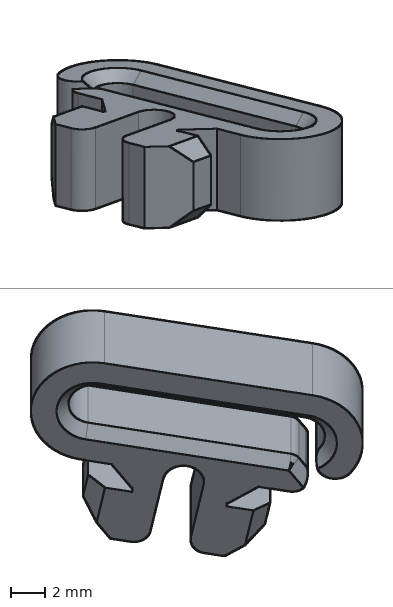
import cadquery as cq
import math

length = 19.6
thickness = 5.0
outer_radius = 3.6
slot_radius = 1.4
edge_chamfer = 0.7
half_straight = length / 2 - outer_radius
wall = outer_radius - slot_radius

hook_angle = math.radians(26)
lip_corner_x = -6.17
lip_fillet = 0.9

clip_bottom = -9.0
foot_half_width = 5.4
foot_top = -5.37
foot_slope = 2.02
foot_chamfer = 1.0
neck_half_width = 2.8
neck_height = 0.2
relief_half_width = 1.2
relief_top = -2.9
relief_fillet = 1.0


def polar(radius, angle):
    """Point around the centre of the loop's left end."""
    return (-half_straight + radius * math.cos(angle), radius * math.sin(angle))


def hook_and_ring():
    """Top bar, right bend and left hook as one C-shaped outline."""
    mid_radius = (outer_radius + slot_radius) / 2
    tip_angle = math.pi + hook_angle
    bend_middle = (math.pi / 2 + tip_angle) / 2
    tip_center = polar(mid_radius, tip_angle)
    tip_end = (
        tip_center[0] + wall / 2 * math.sin(hook_angle),
        tip_center[1] - wall / 2 * math.cos(hook_angle),
    )
    return (
        cq.Workplane("XY")
        .moveTo(half_straight, -outer_radius)
        .threePointArc((half_straight + outer_radius, 0), (half_straight, outer_radius))
        .lineTo(-half_straight, outer_radius)
        .threePointArc(polar(outer_radius, bend_middle), polar(outer_radius, tip_angle))
        .threePointArc(tip_end, polar(slot_radius, tip_angle))
        .threePointArc(polar(slot_radius, bend_middle), (-half_straight, slot_radius))
        .lineTo(half_straight, slot_radius)
        .threePointArc((half_straight + slot_radius, 0), (half_straight, -slot_radius))
        .lineTo(half_straight, -outer_radius)
        .close()
        .extrude(thickness)
    )


def lower_bar():
    """Bottom bar ending in the sloped lip, with both lip corners rounded."""
    bar = (
        cq.Workplane("XY")
        .polyline([
            (half_straight, -slot_radius),
            (lip_corner_x, -slot_radius),
            (lip_corner_x - wall, -outer_radius),
            (half_straight, -outer_radius),
        ])
        .close()
        .extrude(thickness)
    )
    bar = bar.edges("|Z and <X").fillet(lip_fillet)
    upper_corner = cq.selectors.NearestToPointSelector((lip_corner_x, -slot_radius, thickness / 2))
    return bar.edges("|Z").edges(upper_corner).fillet(edge_chamfer)


def clip_leg():
    """Right leg of the clip, with its barbed foot."""
    neck_bottom = foot_top + neck_height
    notch_rise = -outer_radius - neck_bottom
    shoulder_half_width = neck_half_width + notch_rise
    leg = (
        cq.Workplane("XY")
        .polyline([
            (0, -slot_radius - edge_chamfer),
            (shoulder_half_width, -slot_radius - edge_chamfer),
            (shoulder_half_width, -outer_radius),
            (neck_half_width, neck_bottom),
            (neck_half_width, foot_top),
            (foot_half_width, foot_top),
            (foot_half_width, clip_bottom + foot_slope),
            (foot_half_width - foot_slope, clip_bottom),
            (0, clip_bottom),
        ])
        .close()
        .extrude(thickness)
    )
    outer_corner = (
        cq.Workplane("XZ", origin=(0, foot_top, 0))
        .polyline([
            (foot_half_width - foot_chamfer, 0),
            (foot_half_width, 0),
            (foot_half_width, foot_chamfer),
        ])
        .close()
        .extrude(foot_top - clip_bottom)
    )
    return leg.cut(outer_corner).cut(flipped(outer_corner))


def relief_slot():
    """Round-ended slot between the legs, flared by the rounded leg ends."""
    arc_y = relief_top - relief_half_width
    mouth = relief_half_width + relief_fillet
    bulge = relief_fillet * (1 - math.sqrt(0.5))
    fillet_y = clip_bottom + relief_fillet
    return (
        cq.Workplane("XY")
        .moveTo(-relief_half_width, arc_y)
        .threePointArc((0, relief_top), (relief_half_width, arc_y))
        .lineTo(relief_half_width, fillet_y)
        .threePointArc((relief_half_width + bulge, clip_bottom + bulge), (mouth, clip_bottom))
        .lineTo(-mouth, clip_bottom)
        .threePointArc((-relief_half_width - bulge, clip_bottom + bulge), (-relief_half_width, fillet_y))
        .close()
        .extrude(thickness)
    )


def flipped(body):
    """Mirror a body about the part's mid-thickness plane."""
    return body.mirror("XY", (0, 0, thickness / 2))


def slot_chamfer():
    """Tapered stadium that bevels the slot's upper rim."""
    rim_radius = slot_radius + edge_chamfer
    return (
        cq.Workplane("XY", origin=(0, 0, thickness))
        .slot2D(2 * (half_straight + rim_radius), 2 * rim_radius)
        .extrude(-edge_chamfer, taper=45)
    )


def lip_chamfer():
    """Bevel along the sloped lip face, swept conically round its upper corner."""
    pivot_x = lip_corner_x + edge_chamfer * math.tan(math.pi / 8)
    pivot = (pivot_x, -slot_radius - edge_chamfer, thickness)
    profile = [(0, 0), (edge_chamfer, 0), (edge_chamfer, -edge_chamfer)]
    corner = (
        cq.Workplane("YZ", origin=pivot)
        .polyline(profile)
        .close()
        .revolve(45, (0, 0), (0, 1))
    )
    slope_plane = cq.Plane(origin=pivot, xDir=(-1, 1, 0), normal=(1, 1, 0))
    slope = (
        cq.Workplane(slope_plane)
        .polyline(profile)
        .close()
        .extrude(-wall)
    )
    return corner, slope


right_leg = clip_leg()
result = hook_and_ring().union(lower_bar())
result = result.union(right_leg).union(right_leg.mirror("YZ"))
result = result.cut(relief_slot())
for bevel in (slot_chamfer(), *lip_chamfer()):
    result = result.cut(bevel).cut(flipped(bevel))